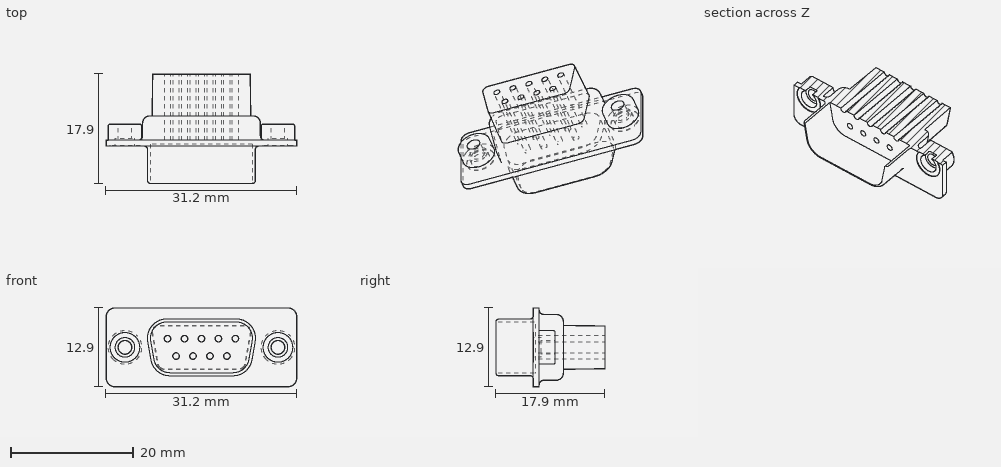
import cadquery as cq
import math


FLANGE_WIDTH = 31.19
FLANGE_HEIGHT = 12.93
FLANGE_THICKNESS = 1.0
FLANGE_CORNER_RADIUS = 1.5

SIDE_ANGLE = math.radians(10)

SHELL_LENGTH = 6.1
SHELL_HEIGHT = 9.3
SHELL_CORNER_RADIUS = 3.15
SHELL_TOP_FLAT = 11.36
SHELL_WALL = 0.5
SHELL_RIM_RADIUS = SHELL_WALL
SHELL_ROOT_RADIUS = SHELL_WALL
CAVITY_FLOOR_Y = 0.4
CAVITY_DEPTH = SHELL_LENGTH + CAVITY_FLOOR_Y

HOOD_LENGTH = 3.97
HOOD_HEIGHT = 10.8
HOOD_CORNER_RADIUS = 2.0
HOOD_TOP_FLAT = 15.3
HOOD_REAR_RADIUS = 1.22
HOOD_ROOT_RADIUS = 0.72

INSULATOR_LENGTH = 6.8
INSULATOR_HEIGHT = 7.2
INSULATOR_CORNER_RADIUS = 1.08
INSULATOR_TOP_FLAT = 14.0
INSULATOR_DRAFT = 0.75

MOUNT_SPACING = 25.0
BOSS_DIAMETER = 5.5
BOSS_LENGTH = 2.6
BOSS_EDGE_RADIUS = 0.3
RECESS_DIAMETER = 4.85
RECESS_DEPTH = 0.1
COUNTERBORE_DIAMETER = 3.2
COUNTERBORE_DEPTH = 1.3
MOUNT_HOLE_DIAMETER = 2.2

PIN_PITCH = 2.77
ROW_SPACING = 2.84
PIN_HOLE_DIAMETER = 1.03
PINS_PER_ROW = {ROW_SPACING / 2: 5, -ROW_SPACING / 2: 4}

FLANGE_REAR = FLANGE_THICKNESS
HOOD_REAR = FLANGE_REAR + HOOD_LENGTH
INSULATOR_REAR = HOOD_REAR + INSULATOR_LENGTH


def plane_at(y):
    """Plane at the given Y with local X along X, local Y along Z, facing -Y."""
    return cq.Workplane("XZ", origin=(0, y, 0))


def d_outline(y, top_flat, height, radius):
    """D-shaped wire at the given Y, centred in height and mirrored about X = 0."""
    top_x = top_flat / 2
    top_z = height / 2 - radius
    bottom_z = -top_z
    bottom_x = top_x - (top_z - bottom_z) * math.tan(SIDE_ANGLE)

    def on_arc(center_x, center_z, angle):
        return (center_x + radius * math.cos(angle), center_z + radius * math.sin(angle))

    def mirrored(point):
        return (-point[0], point[1])

    side_normal = -SIDE_ANGLE
    top_start = on_arc(top_x, top_z, math.pi / 2)
    top_middle = on_arc(top_x, top_z, (math.pi / 2 + side_normal) / 2)
    top_end = on_arc(top_x, top_z, side_normal)
    bottom_start = on_arc(bottom_x, bottom_z, side_normal)
    bottom_middle = on_arc(bottom_x, bottom_z, (side_normal - math.pi / 2) / 2)
    bottom_end = on_arc(bottom_x, bottom_z, -math.pi / 2)
    return (
        plane_at(y)
        .moveTo(*mirrored(top_start))
        .lineTo(*top_start)
        .threePointArc(top_middle, top_end)
        .lineTo(*bottom_start)
        .threePointArc(bottom_middle, bottom_end)
        .lineTo(*mirrored(bottom_end))
        .threePointArc(mirrored(bottom_middle), mirrored(bottom_start))
        .lineTo(*mirrored(top_end))
        .threePointArc(mirrored(top_middle), mirrored(top_start))
        .close()
    )


def root_edges(y):
    """Selector for the edges where a D-shaped section meets the flange face at Y."""
    reach_x = HOOD_TOP_FLAT / 2 + HOOD_CORNER_RADIUS + HOOD_ROOT_RADIUS
    reach_z = HOOD_HEIGHT / 2 + HOOD_ROOT_RADIUS
    slack = 0.01
    return cq.selectors.BoxSelector(
        (-reach_x, y - slack, -reach_z), (reach_x, y + slack, reach_z)
    )


def make_flange():
    flange = plane_at(0).rect(FLANGE_WIDTH, FLANGE_HEIGHT).extrude(-FLANGE_THICKNESS)
    return flange.edges("|Y").fillet(FLANGE_CORNER_RADIUS)


def add_hood(body):
    hood = d_outline(FLANGE_REAR, HOOD_TOP_FLAT, HOOD_HEIGHT, HOOD_CORNER_RADIUS).extrude(-HOOD_LENGTH)
    hood = hood.faces(">Y").edges().fillet(HOOD_REAR_RADIUS)
    return body.union(hood).edges(root_edges(FLANGE_REAR)).fillet(HOOD_ROOT_RADIUS)


def add_shell(body):
    shell = d_outline(0, SHELL_TOP_FLAT, SHELL_HEIGHT, SHELL_CORNER_RADIUS).extrude(SHELL_LENGTH)
    shell = shell.faces("<Y").edges().fillet(SHELL_RIM_RADIUS)
    return body.union(shell).edges(root_edges(0)).fillet(SHELL_ROOT_RADIUS)


def cut_cavity(body):
    cavity = d_outline(
        CAVITY_FLOOR_Y,
        SHELL_TOP_FLAT,
        SHELL_HEIGHT - 2 * SHELL_WALL,
        SHELL_CORNER_RADIUS - SHELL_WALL,
    ).extrude(CAVITY_DEPTH)
    return body.cut(cavity)


def add_insulator(body):
    insulator = d_outline(
        HOOD_REAR, INSULATOR_TOP_FLAT, INSULATOR_HEIGHT, INSULATOR_CORNER_RADIUS
    ).extrude(-INSULATOR_LENGTH, taper=INSULATOR_DRAFT)
    return body.union(insulator)


def mount_cylinder(x, y, diameter, length):
    """Cylinder on a mounting axis, running toward +Y from the given Y."""
    return plane_at(y).center(x, 0).circle(diameter / 2).extrude(-length)


def add_mount(body, x):
    boss = mount_cylinder(x, FLANGE_REAR, BOSS_DIAMETER, BOSS_LENGTH)
    boss = boss.faces(">Y").edges().fillet(BOSS_EDGE_RADIUS)
    return (
        body.union(boss)
        .cut(mount_cylinder(x, 0, RECESS_DIAMETER, RECESS_DEPTH))
        .cut(mount_cylinder(x, 0, COUNTERBORE_DIAMETER, COUNTERBORE_DEPTH))
        .cut(mount_cylinder(x, 0, MOUNT_HOLE_DIAMETER, FLANGE_THICKNESS + BOSS_LENGTH))
    )


def cut_pin_holes(body):
    centers = []
    for row_z, count in PINS_PER_ROW.items():
        for index in range(count):
            centers.append(((index - (count - 1) / 2) * PIN_PITCH, row_z))
    holes = plane_at(0).pushPoints(centers).circle(PIN_HOLE_DIAMETER / 2).extrude(-INSULATOR_REAR)
    return body.cut(holes)


connector = make_flange()
connector = add_hood(connector)
connector = add_shell(connector)
connector = cut_cavity(connector)
connector = add_insulator(connector)
for mount_x in (-MOUNT_SPACING / 2, MOUNT_SPACING / 2):
    connector = add_mount(connector, mount_x)
result = cut_pin_holes(connector)